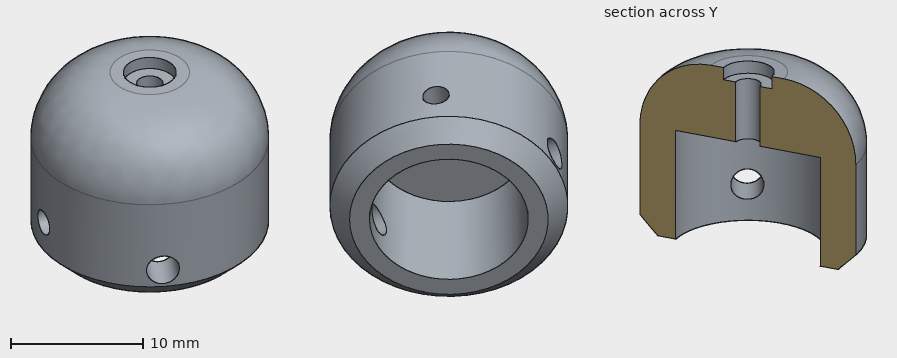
import cadquery as cq

diameter = 18.0
height = 15.0
dome_radius = 6.0
base_chamfer = 1.5

cavity_diameter = 12.0
cavity_depth = 9.0

crown_hole_diameter = 2.0
crown_recess_diameter = 4.0
crown_recess_depth = 1.0

vent_diameter = 2.0
vent_height = 4.0
vent_angle = 225.0
cross_hole_diameter = 2.5
cross_hole_height = 3.0
cross_hole_angle = -65.0
cross_hole_angles = (cross_hole_angle, cross_hole_angle + 180.0)


def body():
    """Cylinder with a rounded crown and a chamfered base."""
    cylinder = cq.Workplane("XY").circle(diameter / 2).extrude(height)
    return cylinder.faces(">Z").edges().fillet(dome_radius).faces("<Z").edges().chamfer(base_chamfer)


def cavity():
    return cq.Workplane("XY").circle(cavity_diameter / 2).extrude(cavity_depth)


def crown_hole():
    """Small through hole with a wider flat-bottomed recess at the top."""
    bore = cq.Workplane("XY").circle(crown_hole_diameter / 2).extrude(height)
    recess = (
        cq.Workplane("XY", origin=(0, 0, height - crown_recess_depth))
        .circle(crown_recess_diameter / 2)
        .extrude(crown_recess_depth)
    )
    return bore.union(recess)


def radial_hole(hole_diameter, hole_height, angle):
    """Cutter from the axis outward, so that it pierces the wall on one side only."""
    cutter = cq.Workplane("YZ").circle(hole_diameter / 2).extrude(diameter)
    return cutter.rotate((0, 0, 0), (0, 0, 1), angle).translate((0, 0, hole_height))


result = body().cut(cavity()).cut(crown_hole())
result = result.cut(radial_hole(vent_diameter, vent_height, vent_angle))
for hole_angle in cross_hole_angles:
    result = result.cut(radial_hole(cross_hole_diameter, cross_hole_height, hole_angle))